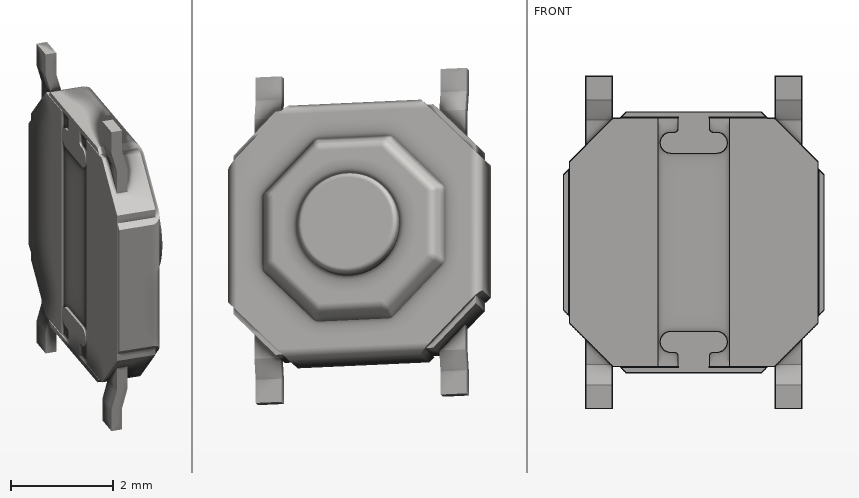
import cadquery as cq
import math


base_half = 2.43
base_corner = 1.58
base_height = 0.8
channel_half_width = 0.695
channel_depth = 0.05

cover_width = 5.1
cover_half = cover_width / 2
cover_corner = 1.32
cover_top = 0.9
cover_edge_radius = 0.2
flap_inner_half = 2.45

tab_neck_half_width = 0.305
tab_arm_half_length = 0.655
tab_arm_inner = 1.74
tab_arm_outer = 2.15
tab_neck_radius = 0.08

dome_half = 1.825
dome_top = 1.2
dome_draft = 30
dome_corner_radius = 0.16
dome_top_radius = 0.2
button_diameter = 2.0
button_top = 1.5
button_edge_radius = 0.1

lead_inner_x = 1.59
lead_width = 0.52
lead_thickness = 0.22
lead_lift = 0.11
lead_tip = 3.25
lead_outer_bend = 2.79
lead_inner_bend = 2.39
lead_root = 1.755


def plane_at(height):
    """Workplane facing +Y at the given height above the mounting side."""
    return cq.Workplane(cq.Plane(origin=(0, height, 0), xDir=(1, 0, 0), normal=(0, 1, 0)))


def block(half_width, bottom, top):
    """Square block centred on the Y axis."""
    return plane_at(bottom).rect(2 * half_width, 2 * half_width).extrude(top - bottom)


def octagon_prism(half, corner, bottom, top, draft=0):
    """Octagon centred on the Y axis, narrowing toward +Y by the draft angle."""
    points = [
        (corner, -half), (half, -corner), (half, corner), (corner, half),
        (-corner, half), (-half, corner), (-half, -corner), (-corner, -half),
    ]
    return plane_at(bottom).polyline(points).close().extrude(top - bottom, taper=draft)


def make_cover():
    """Square sheet with rounded edges, cut to an octagon and hollowed to leave four flaps."""
    sheet = block(cover_half, 0, cover_top).faces(">Y").edges().fillet(cover_edge_radius)
    outline = octagon_prism(cover_half, cover_corner, 0, cover_top)
    cavity = block(flap_inner_half, 0, base_height)
    return sheet.intersect(outline).cut(cavity)


def make_base():
    """Octagonal base with a shallow channel along Z across the mounting side."""
    base = octagon_prism(base_half, base_corner, 0, base_height)
    channel = plane_at(0).rect(2 * channel_half_width, 2 * base_half).extrude(channel_depth)
    return base.cut(channel)


def make_tab():
    """T-shaped tab on the +Z side: a round-ended arm and a neck that joins it to the flap."""
    arm_middle = (tab_arm_inner + tab_arm_outer) / 2
    neck_end = (flap_inner_half + cover_half) / 2
    arm = (
        plane_at(0)
        .center(0, -arm_middle)
        .slot2D(2 * tab_arm_half_length, tab_arm_outer - tab_arm_inner)
        .extrude(channel_depth)
    )
    neck = (
        plane_at(0)
        .center(0, -(arm_middle + neck_end) / 2)
        .rect(2 * tab_neck_half_width, neck_end - arm_middle)
        .extrude(channel_depth)
    )
    box_half_width = tab_neck_half_width + tab_neck_radius
    inside_corners = cq.selectors.BoxSelector(
        (-box_half_width, 0, arm_middle),
        (box_half_width, channel_depth, (tab_arm_outer + neck_end) / 2),
    )
    return arm.union(neck).edges("|Y").edges(inside_corners).fillet(tab_neck_radius)


def make_dome():
    """Tapered octagonal dome with rounded edges on top of the cover."""
    corner = dome_half * math.tan(math.pi / 8)
    dome = octagon_prism(dome_half, corner, cover_top, dome_top, dome_draft)
    dome = dome.edges("not(#Y)").fillet(dome_corner_radius)
    return dome.faces(">Y").edges().fillet(dome_top_radius)


def make_button():
    button = plane_at(dome_top).circle(button_diameter / 2).extrude(button_top - dome_top)
    return button.faces(">Y").edges().fillet(button_edge_radius)


def make_lead():
    """Cranked strip in the +X, +Z corner."""
    lower = [
        (0, lead_tip), (0, lead_outer_bend),
        (lead_lift, lead_inner_bend), (lead_lift, lead_root),
    ]
    upper = [(y + lead_thickness, z) for y, z in reversed(lower)]
    return (
        cq.Workplane("YZ", origin=(lead_inner_x, 0, 0))
        .polyline(lower + upper)
        .close()
        .extrude(lead_width)
    )


result = make_base().union(make_cover()).union(make_dome()).union(make_button())

tab = make_tab()
result = result.union(tab).union(tab.mirror("XY"))

lead_pair = make_lead().union(make_lead().mirror("YZ"))
result = result.union(lead_pair).union(lead_pair.mirror("XY"))